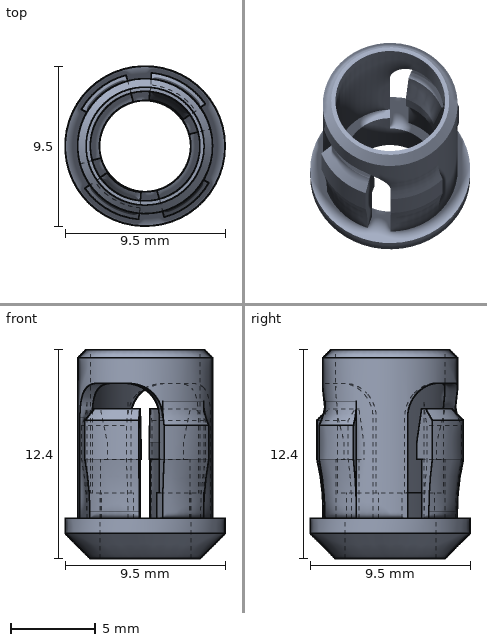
import cadquery as cq
import math

FLANGE_RADIUS = 9.5 / 2
CONE_HEIGHT = 1.5
FLANGE_TOP = 2.4
BORE_RADIUS = 5.4 / 2

SLEEVE_RADIUS = 8.0 / 2
SLEEVE_BORE_RADIUS = 6.5 / 2
SLEEVE_TOP = 12.4
SLEEVE_CHAMFER = 0.5
LEDGE_Z = 3.9

WINDOW_STARTS = (15.0, 195.0)
WINDOW_SPAN = 90.0
WINDOW_TOP = 10.4
WINDOW_CORNER_RADIUS = 2.0

BULGE_RADIUS = 4.36
BULGE_BOTTOM = 5.9

TONGUE_SPAN = 50.0
TONGUE_CURVE_START = 2.8
TONGUE_TOP = 8.9
TONGUE_CHAMFER = 0.7
HOOK_RADIUS = 2.75
HOOK_TAPER_HEIGHT = 2.0

BUMP_SPAN = 45.0
BUMP_BASE = 2.46
BUMP_FLAT_TOP = 7.9
BUMP_TOP = 9.35


def sector(profile, start_angle, span):
    """Revolve a closed radius-height profile about Z from start_angle through span degrees."""
    solid = profile.revolve(span, (0, 0, 0), (0, -1, 0))
    return solid.rotate((0, 0, 0), (0, 0, 1), start_angle + span)


def arc_middle(tangent_z, end_z):
    """Middle point of the arc that leaves the sleeve surface vertically and ends on the bulge."""
    rise = BULGE_RADIUS - SLEEVE_RADIUS
    height = end_z - tangent_z
    arc_radius = (rise**2 + height**2) / (2 * rise)
    half_angle = math.asin(height / arc_radius) / 2
    radius = SLEEVE_RADIUS + arc_radius * (1 - math.cos(half_angle))
    return (radius, tangent_z + arc_radius * math.sin(half_angle))


def make_body():
    """Flange and sleeve as one turned body with a stepped bore."""
    profile = (
        cq.Workplane("XZ")
        .moveTo(BORE_RADIUS, 0)
        .lineTo(FLANGE_RADIUS - CONE_HEIGHT, 0)
        .lineTo(FLANGE_RADIUS, CONE_HEIGHT)
        .lineTo(FLANGE_RADIUS, FLANGE_TOP)
        .lineTo(SLEEVE_RADIUS, FLANGE_TOP)
        .lineTo(SLEEVE_RADIUS, SLEEVE_TOP - SLEEVE_CHAMFER)
        .lineTo(SLEEVE_RADIUS - SLEEVE_CHAMFER, SLEEVE_TOP)
        .lineTo(SLEEVE_BORE_RADIUS, SLEEVE_TOP)
        .lineTo(SLEEVE_BORE_RADIUS, LEDGE_Z)
        .lineTo(BORE_RADIUS, LEDGE_Z)
        .close()
    )
    return profile.revolve(360, (0, 0, 0), (0, 1, 0))


def make_bump(start_angle):
    """Bump on the outside of the sleeve, overlapping the wall for a sound union."""
    profile = (
        cq.Workplane("XZ")
        .moveTo(SLEEVE_BORE_RADIUS, BUMP_BASE)
        .lineTo(SLEEVE_RADIUS, BUMP_BASE)
        .threePointArc(arc_middle(BUMP_BASE, BULGE_BOTTOM), (BULGE_RADIUS, BULGE_BOTTOM))
        .lineTo(BULGE_RADIUS, BUMP_FLAT_TOP)
        .threePointArc(arc_middle(BUMP_TOP, BUMP_FLAT_TOP), (SLEEVE_RADIUS, BUMP_TOP))
        .lineTo(SLEEVE_BORE_RADIUS, BUMP_TOP)
        .close()
    )
    return sector(profile, start_angle, BUMP_SPAN)


def make_window(start_angle):
    """Cutter for one window: a quarter block with its upper edges along both radial walls rounded."""
    height = WINDOW_TOP - FLANGE_TOP
    block = cq.Workplane("XY").workplane(offset=FLANGE_TOP).box(
        FLANGE_RADIUS, FLANGE_RADIUS, height, centered=False
    )
    block = block.faces(">Z").edges("<X or <Y").fillet(WINDOW_CORNER_RADIUS)
    return block.rotate((0, 0, 0), (0, 0, 1), start_angle)


def make_tongue(start_angle):
    """Snap tongue rooted in the flange: bulged outside, with an inward hook near its chamfered tip."""
    profile = (
        cq.Workplane("XZ")
        .moveTo(SLEEVE_BORE_RADIUS, CONE_HEIGHT)
        .lineTo(SLEEVE_RADIUS, CONE_HEIGHT)
        .lineTo(SLEEVE_RADIUS, TONGUE_CURVE_START)
        .threePointArc(arc_middle(TONGUE_CURVE_START, BULGE_BOTTOM), (BULGE_RADIUS, BULGE_BOTTOM))
        .lineTo(BULGE_RADIUS, TONGUE_TOP - TONGUE_CHAMFER)
        .lineTo(BULGE_RADIUS - TONGUE_CHAMFER, TONGUE_TOP)
        .lineTo(SLEEVE_BORE_RADIUS, TONGUE_TOP)
        .lineTo(HOOK_RADIUS, TONGUE_TOP - HOOK_TAPER_HEIGHT)
        .lineTo(HOOK_RADIUS, BULGE_BOTTOM)
        .lineTo(SLEEVE_BORE_RADIUS, BULGE_BOTTOM)
        .close()
    )
    return sector(profile, start_angle, TONGUE_SPAN)


result = make_body()
for window_start in WINDOW_STARTS:
    result = result.union(make_bump(window_start + WINDOW_SPAN))
for window_start in WINDOW_STARTS:
    result = result.cut(make_window(window_start))
for window_start in WINDOW_STARTS:
    result = result.union(make_tongue(window_start + (WINDOW_SPAN - TONGUE_SPAN) / 2))